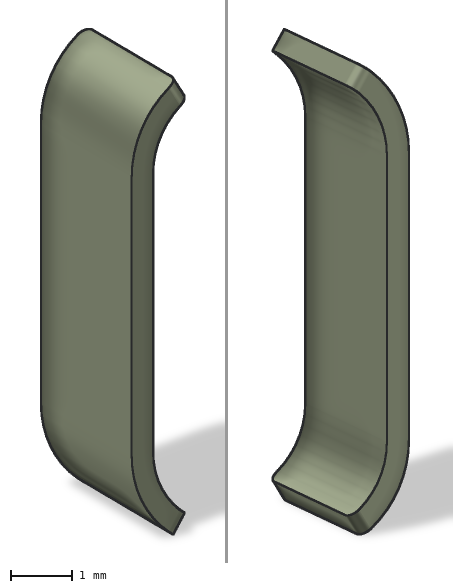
import cadquery as cq
import math

width = 3.05
height = 7.87
depth = 1.06
thickness = 0.4
flat_height = 4.8
corner_radius = 0.2

outer_radius = 1.81
inner_radius = outer_radius - thickness
half_flat = flat_height / 2
curl_rise = height / 2 - half_flat
curl_angle = math.asin(curl_rise / outer_radius)
front_y = -depth / 2
axis_y = front_y + outer_radius


def curl_point(radius, angle, side):
    """Point (Y, Z) on a curl; side is +1 for the upper end, -1 for the lower."""
    y = axis_y - radius * math.cos(angle)
    z = side * (half_flat + radius * math.sin(angle))
    return (y, z)


def strip_profile():
    """Closed side outline of the bent strip in the YZ plane."""
    middle = curl_angle / 2
    return (
        cq.Workplane("YZ")
        .moveTo(*curl_point(outer_radius, 0, -1))
        .lineTo(*curl_point(outer_radius, 0, 1))
        .threePointArc(curl_point(outer_radius, middle, 1), curl_point(outer_radius, curl_angle, 1))
        .lineTo(*curl_point(inner_radius, curl_angle, 1))
        .threePointArc(curl_point(inner_radius, middle, 1), curl_point(inner_radius, 0, 1))
        .lineTo(*curl_point(inner_radius, 0, -1))
        .threePointArc(curl_point(inner_radius, middle, -1), curl_point(inner_radius, curl_angle, -1))
        .lineTo(*curl_point(outer_radius, curl_angle, -1))
        .threePointArc(curl_point(outer_radius, middle, -1), curl_point(outer_radius, 0, -1))
        .close()
    )


def round_end_corners(strip, side):
    """Round the two corners of one end, along the edges through the thickness."""
    edge_direction = cq.Vector(0, -math.cos(curl_angle), side * math.sin(curl_angle))
    return strip.edges(cq.selectors.ParallelDirSelector(edge_direction)).fillet(corner_radius)


result = strip_profile().extrude(width / 2, both=True)
for end_side in (1, -1):
    result = round_end_corners(result, end_side)